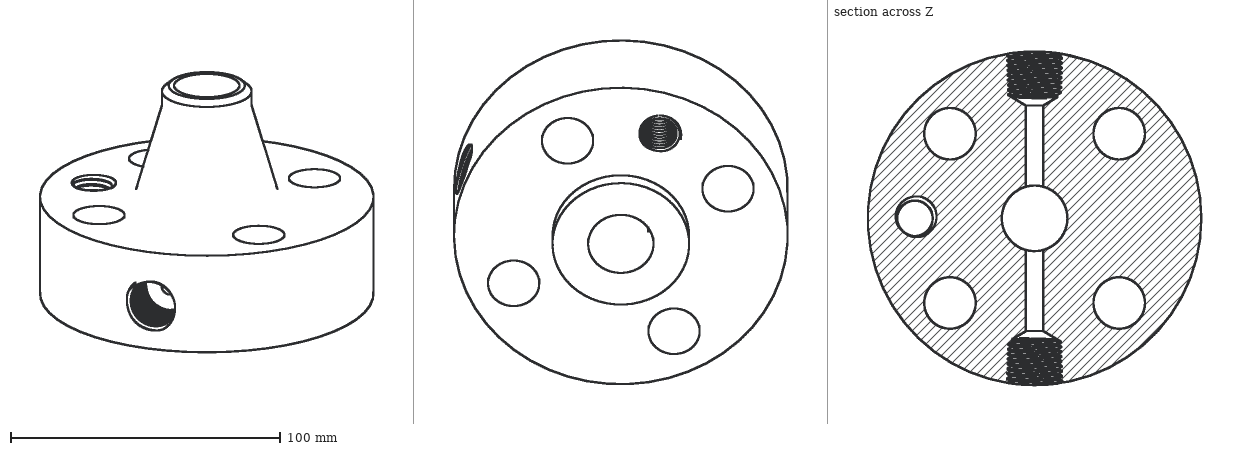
import cadquery as cq
import math

inch = 25.4

flange_diameter = 124.0
flange_thickness = 38.4
raised_face_diameter = 50.8
raised_face_height = 6.35
overall_height = 88.9

bore_diameter = 24.3
hub_base_diameter = 54.0
hub_fillet_radius = 3.0
weld_end_diameter = 33.4
weld_end_length = 6.0
weld_land_width = 2.0
bevel_height = 2.2

bolt_circle_diameter = 88.9
bolt_hole_diameter = 19.05
bolt_hole_count = 4
first_bolt_angle = 45.0

jack_core_diameter = 13.1
jack_pitch = inch / 11
jack_countersink_diameter = 16.4

tap_height = 24.0
tap_core_diameter = 17.8
tap_pitch = inch / 14
tap_taper_angle = math.degrees(math.atan(1 / 16 / 2))
tap_thread_depth = 17.0
tap_drill_point_angle = 118.0
pressure_hole_diameter = 6.4

thread_flank_angle = 30.0
groove_depth_per_pitch = 0.75
groove_mouth_per_pitch = 0.96
groove_overlap = 0.2
thread_start_angle = 180.0
untapered = 360

flange_top = raised_face_height + flange_thickness
bevel_start = overall_height - bevel_height
hub_top = bevel_start - weld_end_length


def make_body():
    """Solid flange, raised face and tapered neck turned about Z, with a fillet at the neck root."""
    land_radius = bore_diameter / 2 + weld_land_width
    profile = [
        (0, 0),
        (raised_face_diameter / 2, 0),
        (raised_face_diameter / 2, raised_face_height),
        (flange_diameter / 2, raised_face_height),
        (flange_diameter / 2, flange_top),
        (hub_base_diameter / 2, flange_top),
        (weld_end_diameter / 2, hub_top),
        (weld_end_diameter / 2, bevel_start),
        (land_radius, overall_height),
        (0, overall_height),
    ]
    body = cq.Workplane("XZ").polyline(profile).close().revolve(360, (0, 0), (0, 1))
    margin = 1.0
    reach = hub_base_diameter / 2 + margin
    root_zone = cq.selectors.BoxSelector(
        (-reach, -reach, flange_top - margin),
        (reach, reach, flange_top + margin),
        boundingbox=True,
    )
    return body.edges(root_zone).fillet(hub_fillet_radius)


def make_bolt_holes():
    """Cutters for the plain bolt holes around the neck."""
    return (
        cq.Workplane("XY")
        .polarArray(bolt_circle_diameter / 2, first_bolt_angle, 360, bolt_hole_count)
        .circle(bolt_hole_diameter / 2)
        .extrude(overall_height)
    )


def make_thread_groove(start_radius, pitch, length, taper_angle=untapered):
    """Right-hand V groove winding up +Z from the origin; the radius grows with the taper."""
    path = cq.Wire.makeHelix(pitch, length, start_radius, angle=taper_angle)
    half_mouth = groove_mouth_per_pitch * pitch / 2
    depth = groove_depth_per_pitch * pitch
    half_root = half_mouth - depth * math.tan(math.radians(thread_flank_angle))
    inner = start_radius - groove_overlap
    groove = (
        cq.Workplane("XZ")
        .moveTo(inner, -half_mouth)
        .lineTo(start_radius, -half_mouth)
        .lineTo(start_radius + depth, -half_root)
        .lineTo(start_radius + depth, half_root)
        .lineTo(start_radius, half_mouth)
        .lineTo(inner, half_mouth)
        .close()
    )
    winding = groove.sweep(cq.Workplane(path), isFrenet=True)
    return winding.rotate((0, 0, 0), (0, 0, 1), thread_start_angle)


def cut_jack_screw(body):
    """Countersunk threaded hole through the flange on -X."""
    radius = jack_core_diameter / 2
    place = cq.Vector(-bolt_circle_diameter / 2, 0, raised_face_height)
    mouth_radius = jack_countersink_diameter / 2
    countersink_depth = mouth_radius - radius
    core_profile = [
        (0, 0),
        (radius, 0),
        (radius, flange_thickness - countersink_depth),
        (mouth_radius, flange_thickness),
        (0, flange_thickness),
    ]
    core = cq.Workplane("XZ").polyline(core_profile).close().revolve(360, (0, 0), (0, 1))
    groove = make_thread_groove(radius, jack_pitch, flange_thickness + 2 * jack_pitch)
    groove = groove.translate((0, 0, -jack_pitch))
    return body.cut(core.translate(place)).cut(groove.translate(place))


def cut_pressure_tap(body, side_angle):
    """Tapered threaded tap opening on -Y, turned about Z by side_angle."""
    mouth_radius = tap_core_diameter / 2
    taper = math.tan(math.radians(tap_taper_angle))
    end_radius = mouth_radius - tap_thread_depth * taper
    hole_radius = pressure_hole_diameter / 2
    point_slope = math.tan(math.radians(tap_drill_point_angle / 2))
    point_height = (end_radius - hole_radius) / point_slope
    rim_radius = flange_diameter / 2
    drill_profile = [
        (0, 0),
        (hole_radius, 0),
        (hole_radius, rim_radius - tap_thread_depth - point_height),
        (end_radius, rim_radius - tap_thread_depth),
        (mouth_radius, rim_radius),
        (0, rim_radius),
    ]
    drill = cq.Workplane("XZ").polyline(drill_profile).close().revolve(360, (0, 0), (0, 1))
    groove_length = tap_thread_depth + tap_pitch
    groove = make_thread_groove(end_radius, tap_pitch, groove_length, tap_taper_angle)
    groove = groove.translate((0, 0, rim_radius - tap_thread_depth))
    for cutter in (groove, drill):
        lying = cutter.rotate((0, 0, 0), (1, 0, 0), 90)
        turned = lying.rotate((0, 0, 0), (0, 0, 1), side_angle)
        body = body.cut(turned.translate((0, 0, tap_height)))
    return body


bore = cq.Workplane("XY").circle(bore_diameter / 2).extrude(overall_height)
result = make_body().cut(bore).cut(make_bolt_holes())
result = cut_jack_screw(result)
for side_angle in (0, 180):
    result = cut_pressure_tap(result, side_angle)